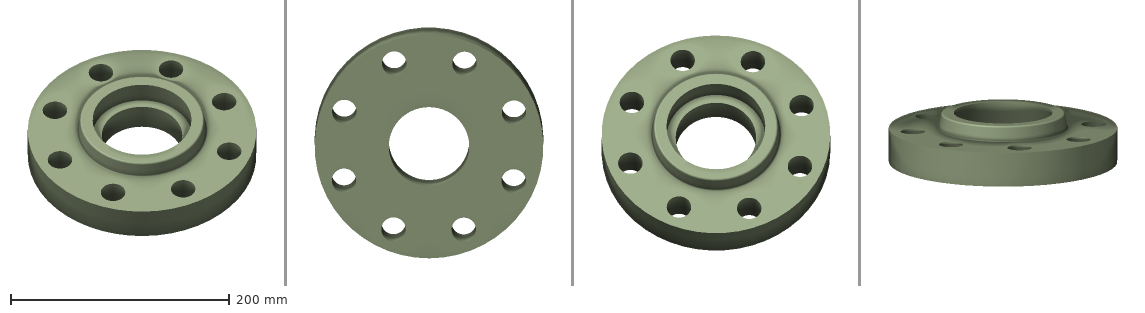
import cadquery as cq
import math

flange_diameter = 209.5
flange_thickness = 31.6
total_height = 45.9

hub_top_diameter = 113.1
hub_taper_angle = 10.0
hub_top_fillet = 1.9
hub_root_fillet = 1.3

bore_diameter = 73.7
socket_diameter = 90.5
socket_depth = 20.1

bolt_count = 8
bolt_circle_diameter = 168.2
bolt_hole_diameter = 22.5

hub_height = total_height - flange_thickness
hub_top_radius = hub_top_diameter / 2
hub_base_radius = hub_top_radius + hub_height * math.tan(math.radians(hub_taper_angle))


def make_flange_disc():
    return cq.Workplane("XY").circle(flange_diameter / 2).extrude(flange_thickness)


def make_hub():
    """Cone frustum standing on the top face of the disc."""
    return (
        cq.Workplane("XZ")
        .moveTo(0, flange_thickness)
        .lineTo(hub_base_radius, flange_thickness)
        .lineTo(hub_top_radius, total_height)
        .lineTo(0, total_height)
        .close()
        .revolve(360, (0, 0, 0), (0, 1, 0))
    )


def round_hub(body):
    """Round the rim of the hub, then the corner where it meets the disc."""
    body = body.faces(">Z").edges().fillet(hub_top_fillet)
    hub_root_edge = cq.selectors.RadiusNthSelector(-2)
    return body.edges(hub_root_edge).fillet(hub_root_fillet)


def cut_stepped_bore(body):
    hub_face = body.faces(">Z").workplane()
    return hub_face.cboreHole(bore_diameter, socket_diameter, socket_depth)


def cut_bolt_holes(body):
    holes = (
        cq.Workplane("XY")
        .polarArray(bolt_circle_diameter / 2, 0, 360, bolt_count)
        .circle(bolt_hole_diameter / 2)
        .extrude(flange_thickness)
    )
    return body.cut(holes)


flange = round_hub(make_flange_disc().union(make_hub()))
result = cut_bolt_holes(cut_stepped_bore(flange))